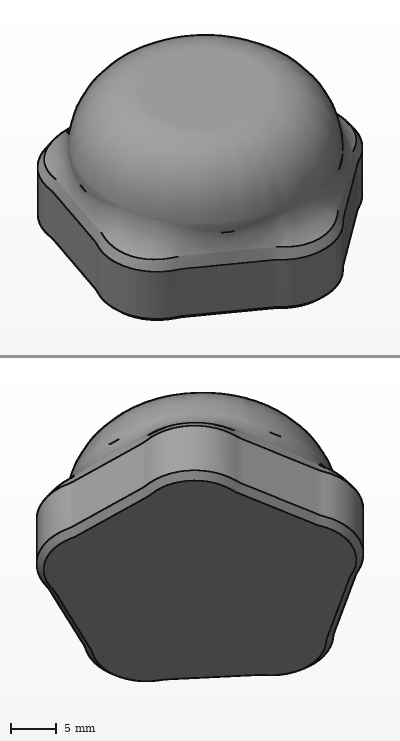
import cadquery as cq
import math

OVERALL_WIDTH = 35.67
TOTAL_HEIGHT = 19.2
LOBES = 5
HALF_PITCH = math.pi / LOBES
FIRST_LOBE_ANGLE = math.radians(-92.1)
LOBE_RADIUS = 6.78
FLAT_DISTANCE = 16.0
WAIST_RADIUS = 5.0
BASE_HEIGHT = 8.0
CHAMFER = 0.8

LEFT_REACH = -math.cos(FIRST_LOBE_ANGLE - 2 * HALF_PITCH)
RIGHT_REACH = math.cos(FIRST_LOBE_ANGLE + 2 * HALF_PITCH)
LOBE_OFFSET = (OVERALL_WIDTH - 2 * LOBE_RADIUS) / (LEFT_REACH + RIGHT_REACH)

WAIST_CENTRE_DISTANCE = FLAT_DISTANCE + WAIST_RADIUS
LOBE_TO_WAIST = LOBE_RADIUS + WAIST_RADIUS
WAIST_TURN = math.acos((WAIST_CENTRE_DISTANCE - LOBE_OFFSET * math.cos(HALF_PITCH)) / LOBE_TO_WAIST)
FLAT_HALF_LENGTH = LOBE_OFFSET * math.sin(HALF_PITCH) - LOBE_TO_WAIST * math.sin(WAIST_TURN)
LOBE_HALF_SWEEP = HALF_PITCH + WAIST_TURN

TOP_FLAT_RADIUS = 15.0 / 2
DOME_ROUND = 7.5
DOME_RISE = 8.2
DOME_BASE_HEIGHT = TOTAL_HEIGHT - DOME_RISE

NECK_RADIUS = 5.0
NECK_BITE = 0.005
NECK_INNER_RADIUS = 12.85
NECK_SECTIONS = 25
BISECTIONS = 40
RIM_SEARCH_HEIGHT = 0.35


def step(start, distance, angle):
    """Point reached from start by moving a distance in the given direction."""
    return (start[0] + distance * math.cos(angle), start[1] + distance * math.sin(angle))


def lobe_point(axis, angle):
    """Point on the lobe lying along axis, in the given direction from the lobe centre."""
    return step(step((0, 0), LOBE_OFFSET, axis), LOBE_RADIUS, angle)


def waist_point(normal, side, turn):
    """Point on the waist arc at one end (side -1 or 1) of a flat, turned from the flat's end."""
    flat_middle = step((0, 0), FLAT_DISTANCE, normal)
    flat_end = step(flat_middle, side * FLAT_HALF_LENGTH, normal + math.pi / 2)
    centre = step(flat_end, WAIST_RADIUS, normal)
    return step(centre, WAIST_RADIUS, normal + math.pi - side * turn)


def base_outline():
    first_point = lobe_point(FIRST_LOBE_ANGLE, FIRST_LOBE_ANGLE - LOBE_HALF_SWEEP)
    outline = cq.Workplane("XY").moveTo(*first_point)
    for i in range(LOBES):
        axis = FIRST_LOBE_ANGLE + 2 * HALF_PITCH * i
        normal = axis + HALF_PITCH
        next_axis = normal + HALF_PITCH
        next_lobe = lobe_point(next_axis, next_axis - LOBE_HALF_SWEEP)
        outline = (
            outline.threePointArc(lobe_point(axis, axis), lobe_point(axis, axis + LOBE_HALF_SWEEP))
            .threePointArc(waist_point(normal, -1, WAIST_TURN / 2), waist_point(normal, -1, 0))
            .lineTo(*waist_point(normal, 1, 0))
            .threePointArc(waist_point(normal, 1, WAIST_TURN / 2), next_lobe)
        )
    return outline.close()


def rim_radius(from_lobe):
    """Distance from the part axis to the base outline, at an angle within half a pitch of a lobe."""
    from_flat = HALF_PITCH - abs(from_lobe)
    if from_flat <= math.atan2(FLAT_HALF_LENGTH, FLAT_DISTANCE):
        return FLAT_DISTANCE / math.cos(from_flat)

    lobe_end_x, lobe_end_y = lobe_point(0, LOBE_HALF_SWEEP)
    if abs(from_lobe) <= math.atan2(lobe_end_y, lobe_end_x):
        across = LOBE_OFFSET * math.sin(from_lobe)
        return LOBE_OFFSET * math.cos(from_lobe) + math.sqrt(LOBE_RADIUS**2 - across**2)

    centre_distance = math.hypot(WAIST_CENTRE_DISTANCE, FLAT_HALF_LENGTH)
    from_centre = from_flat - math.atan2(FLAT_HALF_LENGTH, WAIST_CENTRE_DISTANCE)
    across = centre_distance * math.sin(from_centre)
    return centre_distance * math.cos(from_centre) - math.sqrt(WAIST_RADIUS**2 - across**2)


def dome_contact(tilt):
    """Radius and height where the dome's outward normal is raised by tilt, less the neck's bite."""
    across = DOME_ROUND * math.cos(tilt)
    up = DOME_RISE * math.sin(tilt)
    size = math.hypot(across, up)
    radius = TOP_FLAT_RADIUS + DOME_ROUND * across / size - NECK_BITE
    return (radius, DOME_BASE_HEIGHT + DOME_RISE * up / size)


def ball_centre(tilt):
    return step(dome_contact(tilt), NECK_RADIUS, tilt)


def contact_tilt(rim):
    """Tilt at which the ball touching the dome also touches a rim of the given radius."""
    low = 0.0
    high = math.pi / 4
    for _ in range(BISECTIONS):
        tilt = (low + high) / 2
        if math.dist(ball_centre(tilt), (rim, BASE_HEIGHT)) < NECK_RADIUS:
            low = tilt
        else:
            high = tilt
    return tilt


def neck_section(from_lobe):
    """Upright section of the neck, from inside the dome out to below the ball centre."""
    tilt = contact_tilt(rim_radius(from_lobe))
    contact = dome_contact(tilt)
    centre = ball_centre(tilt)
    arc_start = math.pi + tilt
    arc_end = 1.5 * math.pi
    angle = FIRST_LOBE_ANGLE + from_lobe
    plane = cq.Plane(
        origin=(0, 0, 0),
        xDir=(math.cos(angle), math.sin(angle), 0),
        normal=(math.sin(angle), -math.cos(angle), 0),
    )
    section = (
        cq.Workplane(plane)
        .moveTo(*contact)
        .threePointArc(
            step(centre, NECK_RADIUS, (arc_start + arc_end) / 2),
            step(centre, NECK_RADIUS, arc_end),
        )
        .lineTo(centre[0], 0)
        .lineTo(NECK_INNER_RADIUS, 0)
        .lineTo(NECK_INNER_RADIUS, contact[1])
        .close()
    )
    return section.val()


def neck():
    """Ring of equal segments, one for each lobe, that runs out past the base outline."""
    spacing = 2 * HALF_PITCH / (NECK_SECTIONS - 1)
    sections = [neck_section(-HALF_PITCH + spacing * i) for i in range(NECK_SECTIONS)]
    segment = cq.Workplane(cq.Solid.makeLoft(sections))
    ring = segment
    for i in range(1, LOBES):
        ring = ring.union(segment.rotate((0, 0, 0), (0, 0, 1), 360 / LOBES * i))
    return ring


def dome():
    return (
        cq.Workplane("XZ")
        .lineTo(TOP_FLAT_RADIUS + DOME_ROUND, 0)
        .lineTo(TOP_FLAT_RADIUS + DOME_ROUND, DOME_BASE_HEIGHT)
        .ellipseArc(DOME_ROUND, DOME_RISE, 0, 90, startAtCurrent=True)
        .lineTo(0, TOTAL_HEIGHT)
        .close()
        .revolve(360, (0, 0, 0), (0, 1, 0))
    )


def rim_edges():
    """Selector for the edges where the base walls meet the neck."""
    low_corner = (-OVERALL_WIDTH, -OVERALL_WIDTH, BASE_HEIGHT - RIM_SEARCH_HEIGHT)
    high_corner = (OVERALL_WIDTH, OVERALL_WIDTH, BASE_HEIGHT + RIM_SEARCH_HEIGHT)
    return cq.selectors.BoxSelector(low_corner, high_corner)


column = base_outline().extrude(TOTAL_HEIGHT)
body = column.intersect(neck()).union(dome()).clean()
body = body.faces("<Z").edges().chamfer(CHAMFER)
result = body.edges(rim_edges()).chamfer(CHAMFER).solids()